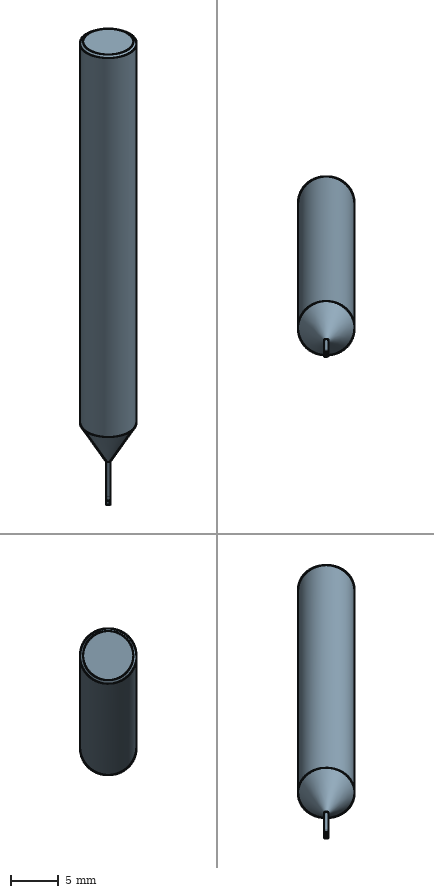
import cadquery as cq
import math

total_length = 57.0
shank_radius = 6.0 / 2
top_chamfer_width = 0.35
top_chamfer_height = 0.2

neck_radius = 0.24
shank_bottom = 10.05
cone_half_angle = 30.0
flare_top = 1.0

cutter_length = 0.5
cutter_radius = 0.25
tip_step_height = 0.15

cone_height = (shank_radius - neck_radius) / math.tan(math.radians(cone_half_angle))
cone_bottom = shank_bottom - cone_height


def make_holder():
    """Chamfered shank, cone and neck, flared at its end to the cutter, revolved as one solid."""
    profile = [
        (0, cutter_length),
        (cutter_radius, cutter_length),
        (neck_radius, flare_top),
        (neck_radius, cone_bottom),
        (shank_radius, shank_bottom),
        (shank_radius, total_length - top_chamfer_height),
        (shank_radius - top_chamfer_width, total_length),
        (0, total_length),
    ]
    return cq.Workplane("XZ").polyline(profile).close().revolve(360, (0, 0), (0, 1))


def make_cutter():
    """Short cylinder whose end is stepped, the -Y half reaching lower than the +Y half."""
    blank = cq.Workplane("XY").circle(cutter_radius).extrude(cutter_length)
    step_waste = cq.Workplane("XY").box(
        2 * cutter_radius, cutter_radius, tip_step_height, centered=(True, False, False)
    )
    return blank.cut(step_waste)


holder = make_holder()
cutter = make_cutter()

result = cq.Compound.makeCompound([holder.val(), cutter.val()])